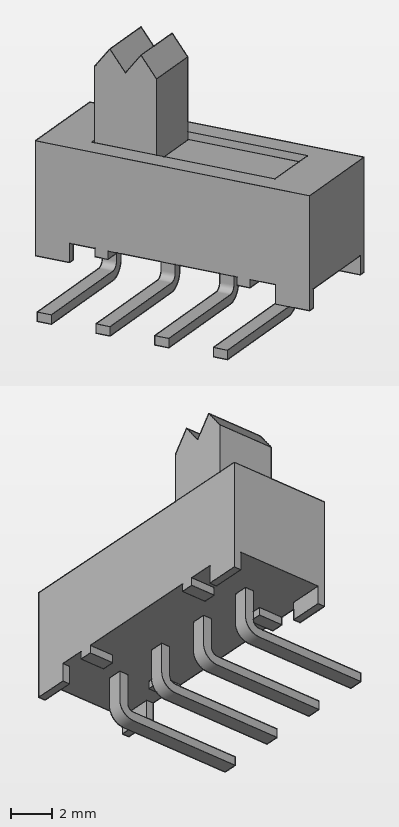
import cadquery as cq

body_length = 14.99
body_width = 5.6
body_height = 6.0
body_bottom = 1.5
body_top = body_bottom + body_height

foot_height = 1.0
foot_length = 1.87
foot_thickness = 0.4
underside = body_bottom + foot_height

standoff_length = 0.7
standoff_width = 1.4
standoff_height = 0.43
standoff_spacing = 7.76

slot_length = 10.0
slot_width = 3.36
slot_depth = 0.4

slider_length = 3.4
slider_width = 3.21
slider_top = 12.5
slider_end_gap = 0.09
peak_height = 1.08

pin_count = 4
pin_pitch = 3.21
pin_width = 0.78
pin_thickness = 0.5
pin_reach = 6.93
bend_inner_radius = 0.36


def make_housing():
    housing = cq.Workplane("XY", origin=(0, 0, body_bottom)).box(
        body_length, body_width, body_height, centered=(True, True, False)
    )
    for length, width in (
        (body_length, body_width - 2 * foot_thickness),
        (body_length - 2 * foot_length, body_width),
    ):
        channel = cq.Workplane("XY", origin=(0, 0, body_bottom)).box(
            length, width, foot_height, centered=(True, True, False)
        )
        housing = housing.cut(channel)
    slot = cq.Workplane("XY", origin=(0, 0, body_top)).rect(slot_length, slot_width).extrude(-slot_depth)
    return housing.cut(slot)


def make_standoffs():
    return (
        cq.Workplane("XY", origin=(0, 0, underside))
        .rarray(standoff_spacing, body_width - standoff_width, 2, 2)
        .rect(standoff_length, standoff_width)
        .extrude(-standoff_height)
    )


def make_slider():
    left = -slot_length / 2 + slider_end_gap
    right = left + slider_length
    shoulder = slider_top - peak_height
    base = body_top - slot_depth
    profile = [
        (left, base),
        (left, shoulder),
        (left + slider_length / 4, slider_top),
        (left + slider_length / 2, shoulder),
        (right - slider_length / 4, slider_top),
        (right, shoulder),
        (right, base),
    ]
    return cq.Workplane("XZ").polyline(profile).close().extrude(slider_width / 2, both=True)


def make_pin(x):
    back = pin_thickness / 2
    front = -pin_thickness / 2
    bend_outer_radius = bend_inner_radius + pin_thickness
    bend_end = back - bend_outer_radius
    return (
        cq.Workplane("YZ", origin=(x, 0, 0))
        .moveTo(back, underside)
        .lineTo(back, bend_outer_radius)
        .radiusArc((bend_end, 0), bend_outer_radius)
        .lineTo(-pin_reach, 0)
        .lineTo(-pin_reach, pin_thickness)
        .lineTo(bend_end, pin_thickness)
        .radiusArc((front, bend_outer_radius), -bend_inner_radius)
        .lineTo(front, underside)
        .close()
        .extrude(pin_width / 2, both=True)
    )


result = make_housing().union(make_standoffs()).union(make_slider())
for index in range(pin_count):
    result = result.union(make_pin((index - (pin_count - 1) / 2) * pin_pitch))